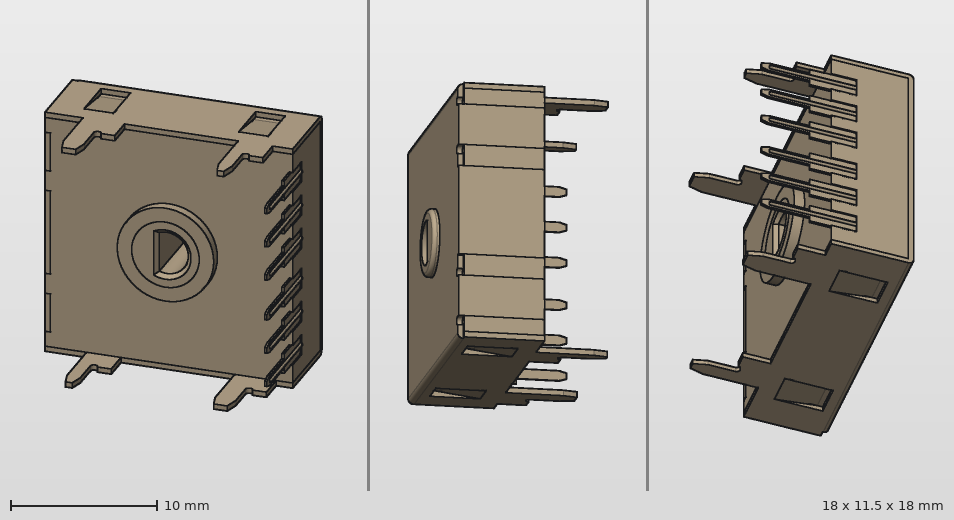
import cadquery as cq
import math

height = 18.0
left_x = -height / 2
right_x = 8.95
body_depth = 5.98
lead_length = 5.01

sheet = 0.4
window_center_x = 5.6
window_width = 2.13
window_back_y = 4.9
window_front_y = 1.4
leg_center_x = 5.5
wide_leg_width = 1.5
narrow_leg_width = 1.0
shoulder_width = 1.01
shoulder_length = 2.0
relief_width = 0.5
tip_length = 1.01
tip_inset = 0.25
middle_tab_width = 6.25
outer_tab_width = 2.87
outer_tab_center_z = 6.05
bend_relief_diameter = 0.55

boss_diameter = 7.0
boss_height = 0.75
latch_gap = 0.41

rotor_front_diameter = 4.9
rotor_back_diameter = 4.7
rotor_overhang = 0.5
rotor_rounding = 0.3
bore_radius = 1.55
bore_flat_x = -0.54
bore_chamfer = 0.3

pin_spacing = 2.5
pin_group_gap = 3.0
pin_outer_x = 8.87
pin_thickness = 0.16
pin_root_width = 1.46
pin_root_length = 1.51
pin_embedded_length = 1.84
pin_width = 0.7
pin_tip_width = 0.4
pin_taper_length = 0.5
rib_radius = 0.153
rib_front_y = -4.47

top_z = height / 2
wall_inner_z = top_z - sheet
tab_inner_x = left_x + sheet
housing_depth = body_depth - sheet
pin_inner_x = pin_outer_x - pin_thickness
rotor_length = boss_height + body_depth + rotor_overhang
pin_heights = [side * (pin_group_gap / 2 + i * pin_spacing) for side in (-1, 1) for i in range(3)]
tabs = [
    (-outer_tab_center_z, outer_tab_width),
    (0, middle_tab_width),
    (outer_tab_center_z, outer_tab_width),
]


def block(x_range, y_range, z_range):
    """Axis-aligned box between pairs of X, Y and Z limits."""
    lengths = [limits[1] - limits[0] for limits in (x_range, y_range, z_range)]
    corner = (x_range[0], y_range[0], z_range[0])
    return cq.Workplane("XY").box(*lengths, centered=False).translate(corner)


def cylinder(diameter, y_start, y_end):
    """Cylinder around the Y axis."""
    plane = cq.Workplane("XZ", origin=(0, y_start, 0))
    return plane.circle(diameter / 2).extrude(y_start - y_end)


def tab_block(center_z, width):
    """Space taken by one frame tab on the -X side."""
    z_range = (center_z - width / 2, center_z + width / 2)
    return block((left_x, tab_inner_x), (0, body_depth), z_range)


def make_leg(center_x, width):
    """Frame leg in the top wall: a tapered prong beside a shorter square shoulder."""
    left = center_x - width / 2
    right = center_x + width / 2
    shoulder_left = right + relief_width
    shoulder_right = shoulder_left + shoulder_width
    relief_top = (right + relief_width / 2, relief_width / 2 - shoulder_length)
    taper_y = tip_length - lead_length
    return (
        cq.Workplane("XY", origin=(0, 0, wall_inner_z))
        .moveTo(left, 0)
        .lineTo(left, taper_y)
        .lineTo(left + tip_inset, -lead_length)
        .lineTo(right - tip_inset, -lead_length)
        .lineTo(right, taper_y)
        .lineTo(right, -shoulder_length)
        .threePointArc(relief_top, (shoulder_left, -shoulder_length))
        .lineTo(shoulder_right, -shoulder_length)
        .lineTo(shoulder_right, 0)
        .close()
        .extrude(sheet)
    )


def make_wall(left_leg_width, right_leg_width):
    """Top wall of the frame with its two latch windows and two legs."""
    wall = block((left_x, right_x), (0, housing_depth), (wall_inner_z, top_z))
    for side in (-1, 1):
        center_x = side * window_center_x
        x_range = (center_x - window_width / 2, center_x + window_width / 2)
        wall = wall.cut(block(x_range, (window_front_y, window_back_y), (wall_inner_z, top_z)))
    return wall.union(make_leg(-leg_center_x, left_leg_width)).union(make_leg(leg_center_x, right_leg_width))


def make_back_wall():
    """Back wall of the frame with rounded top and bottom bends."""
    bend_y = housing_depth + sheet * math.sin(math.pi / 4)
    bend_z = wall_inner_z + sheet * math.sin(math.pi / 4)
    return (
        cq.Workplane("YZ", origin=(tab_inner_x, 0, 0))
        .moveTo(housing_depth, -top_z)
        .threePointArc((bend_y, -bend_z), (body_depth, -wall_inner_z))
        .lineTo(body_depth, wall_inner_z)
        .threePointArc((bend_y, bend_z), (housing_depth, top_z))
        .close()
        .extrude(right_x - tab_inner_x)
    )


def make_frame():
    """Back wall folded forward along the top, the bottom and three tabs on the -X side."""
    frame = make_back_wall()

    for center_z, width in (tabs[0], tabs[2]):
        for end in (-1, 1):
            relief_z = center_z + end * (width + bend_relief_diameter) / 2
            relief = cylinder(bend_relief_diameter, housing_depth, body_depth)
            frame = frame.cut(relief.translate((tab_inner_x, 0, relief_z)))

    for center_z, width in tabs:
        frame = frame.union(tab_block(center_z, width))

    top_wall = make_wall(wide_leg_width, narrow_leg_width)
    bottom_wall = make_wall(narrow_leg_width, wide_leg_width).mirror("XY")
    frame = frame.union(top_wall).union(bottom_wall)
    return frame.cut(cylinder(rotor_back_diameter, housing_depth, body_depth))


def make_latch(center_x):
    """Ramp that rises from the housing top to the front edge of a frame window."""
    return (
        cq.Workplane("YZ", origin=(center_x - window_width / 2, 0, 0))
        .moveTo(window_back_y - latch_gap, wall_inner_z)
        .lineTo(window_front_y, wall_inner_z)
        .lineTo(window_front_y, top_z)
        .close()
        .extrude(window_width)
    )


def make_housing():
    """Block with a round front boss, recesses for tabs and pins, and four latches."""
    housing = block((left_x, right_x), (0, housing_depth), (-wall_inner_z, wall_inner_z))
    housing = housing.union(cylinder(boss_diameter, -boss_height, 0))
    housing = housing.cut(cylinder(rotor_front_diameter, -boss_height, housing_depth))

    for center_z, width in tabs:
        housing = housing.cut(tab_block(center_z, width))

    for center_z in pin_heights:
        z_range = (center_z - pin_root_width / 2, center_z + pin_root_width / 2)
        housing = housing.cut(block((pin_inner_x, right_x), (0, pin_embedded_length), z_range))

    for side in (-1, 1):
        latch = make_latch(side * window_center_x)
        housing = housing.union(latch).union(latch.mirror("XY"))
    return housing


def draw_bore(plane, growth):
    """Draw the D-shaped bore outline on a plane, enlarged all round by growth."""
    radius = bore_radius + growth
    flat_x = bore_flat_x - growth
    half_flat = math.sqrt(radius**2 - flat_x**2)
    return plane.moveTo(flat_x, -half_flat).threePointArc((radius, 0), (flat_x, half_flat)).close()


def make_rotor():
    """Stepped turning rotor with a D-shaped bore that is chamfered at the front."""
    knob = cylinder(rotor_back_diameter, housing_depth, body_depth + rotor_overhang)
    knob = knob.faces(">Y").edges().fillet(rotor_rounding)
    rotor = cylinder(rotor_front_diameter, -boss_height, housing_depth).union(knob)

    front_plane = cq.Workplane("XZ", origin=(0, -boss_height, 0))
    bore = draw_bore(front_plane, 0).extrude(-rotor_length)
    bore_entry = draw_bore(front_plane, bore_chamfer).workplane(offset=-bore_chamfer)
    bore_entry = draw_bore(bore_entry, 0).loft(ruled=True)
    return rotor.cut(bore).cut(bore_entry)


def make_pin(center_z):
    """Flat contact pin with a wide root, a tapered tip and a half-round outer rib."""
    taper_y = pin_taper_length - lead_length
    half_outline = [
        (pin_embedded_length, pin_root_width / 2),
        (-pin_root_length, pin_root_width / 2),
        (-pin_root_length, pin_width / 2),
        (taper_y, pin_width / 2),
        (-lead_length, pin_tip_width / 2),
    ]
    other_half = [(y, -z) for y, z in reversed(half_outline)]
    blade = (
        cq.Workplane("YZ", origin=(pin_inner_x, 0, center_z))
        .polyline(half_outline + other_half)
        .close()
        .extrude(pin_thickness)
    )

    rib_end_y = rib_front_y + rib_radius
    rib = cylinder(2 * rib_radius, rib_end_y, pin_embedded_length)
    rib_end = cq.Workplane("XY").sphere(rib_radius).translate((0, rib_end_y, 0))
    rib = rib.union(rib_end).translate((pin_outer_x, 0, center_z))
    outer_side = block(
        (pin_outer_x, pin_outer_x + rib_radius),
        (rib_front_y, pin_embedded_length),
        (center_z - rib_radius, center_z + rib_radius),
    )
    return blade.union(rib.intersect(outer_side))


housing = make_housing()
frame = make_frame()
rotor = make_rotor()
pins = [make_pin(center_z) for center_z in pin_heights]

bodies = [housing, frame, rotor, *pins]
result = cq.Compound.makeCompound([body.solids().val() for body in bodies])